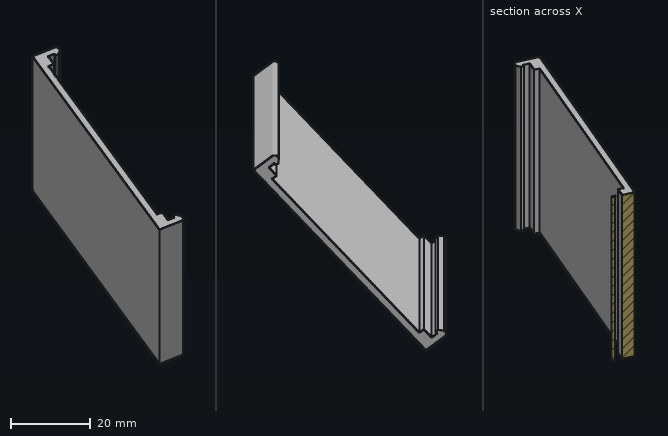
import cadquery as cq

width = 67.5
depth = 7.2
height = 50.0

plate_thickness = 2.0
ledge_depth = 3.5
ledge_width = 5.0

wall_thickness = 1.95
edge_radius = 1.0
tip_offset = 1.5
hook_overhang = 0.6
hook_underside = 5.25
hook_inner_top = 6.1

outer_x = width / 2
wall_x = outer_x - wall_thickness
hook_x = wall_x - hook_overhang
ledge_x = outer_x - ledge_width
tip_x = outer_x - tip_offset


def half_profile():
    """Right half of the channel cross-section in the XY plane, with the front face at Y = 0."""
    return (
        cq.Workplane("XY")
        .lineTo(outer_x, 0)
        .lineTo(outer_x, depth - edge_radius)
        .radiusArc((outer_x - edge_radius, depth), -edge_radius)
        .lineTo(tip_x, depth)
        .lineTo(hook_x, hook_inner_top)
        .lineTo(hook_x, hook_underside)
        .lineTo(wall_x, hook_underside)
        .lineTo(wall_x, ledge_depth)
        .lineTo(ledge_x, ledge_depth)
        .lineTo(ledge_x, plate_thickness)
        .lineTo(0, plate_thickness)
        .close()
    )


right_half = half_profile().extrude(height)
left_half = right_half.mirror("YZ")
result = right_half.union(left_half).clean()